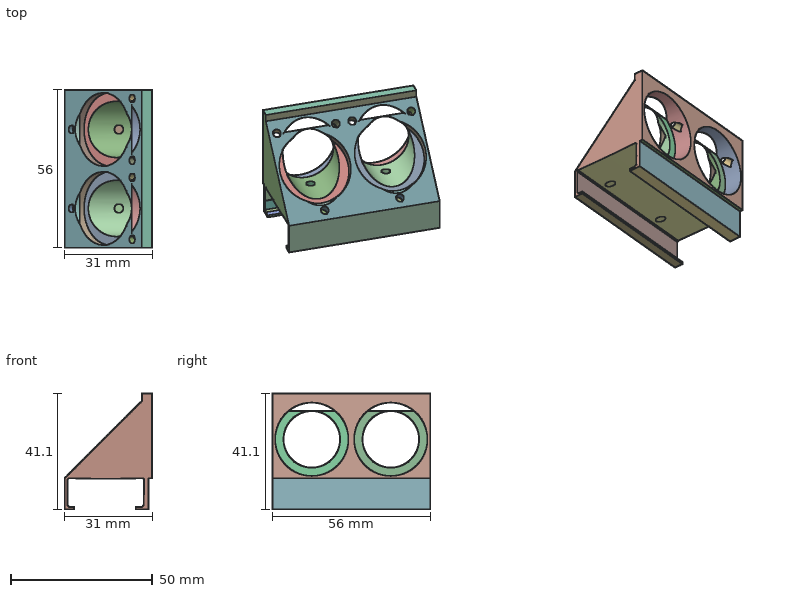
import cadquery as cq
import math

length_x = 31.0
width_y = 56
height_z = 41.15
slope_base_z = 11.1
ridge_thickness = 3.6
slope_end_x = length_x - ridge_thickness

ceiling_z = 11.05
ceiling_sag = 0.15
front_leg_thickness = 1.05
rear_leg_inner_x = 28.05
rear_leg_outer_x = 29.8
lip_thickness = 0.9
front_lip_end_x = 3.4
rear_lip_start_x = 25.2
upper_chamfer = 0.4
lower_chamfer = 0.7
ledge_width = 0.1
ledge_z = 5.2
membrane_thickness = 0.15

station_ys = (-width_y / 4, width_y / 4)
bore_diameter = 20.0
seat_diameter = 26.0
bore_axis_z = 24.85
rear_seat_depth = 7.1
sloped_seat_depth = 3.3
bore_slope_x = bore_axis_z - slope_base_z

screw_diameter = 2.8
screw_depth = 5.6
lower_screw_x = 2.45
upper_screw_x = 23.95
upper_screw_offset_y = 11.0
wall_hole_diameter = 3.15
wall_hole_x = 19.25


def make_body():
    """Extrude the wedge that carries the bores."""
    outline = (
        cq.Workplane("XZ", origin=(0, width_y / 2, 0))
        .moveTo(0, 0)
        .lineTo(0, slope_base_z)
        .lineTo(slope_end_x, slope_base_z + slope_end_x)
        .lineTo(slope_end_x, height_z)
        .lineTo(length_x, height_z)
        .lineTo(length_x, ceiling_z)
        .lineTo(rear_leg_outer_x, ceiling_z)
        .lineTo(rear_leg_outer_x, 0)
        .close()
    )
    return outline.extrude(width_y)


def make_channel():
    """Space between the clip legs, narrowed at the bottom by the lips."""
    left = front_leg_thickness
    right = rear_leg_inner_x
    upper_right = right + ledge_width
    outline = (
        cq.Workplane("XZ", origin=(0, width_y / 2, 0))
        .moveTo(front_lip_end_x, 0)
        .lineTo(front_lip_end_x, lip_thickness)
        .lineTo(left + lower_chamfer, lip_thickness)
        .lineTo(left, lip_thickness + lower_chamfer)
        .lineTo(left, ceiling_z - upper_chamfer)
        .lineTo(left + upper_chamfer, ceiling_z)
        .threePointArc(
            ((left + right) / 2, ceiling_z - ceiling_sag),
            (upper_right - upper_chamfer, ceiling_z),
        )
        .lineTo(upper_right, ceiling_z - upper_chamfer)
        .lineTo(upper_right, ledge_z + ledge_width)
        .lineTo(right, ledge_z)
        .lineTo(right, lip_thickness + lower_chamfer)
        .lineTo(right - lower_chamfer, lip_thickness)
        .lineTo(rear_lip_start_x, lip_thickness)
        .lineTo(rear_lip_start_x, 0)
        .close()
    )
    return outline.extrude(width_y)


def cylinder(diameter, depth, start, direction):
    return cq.Workplane(
        cq.Solid.makeCylinder(diameter / 2, depth, cq.Vector(*start), cq.Vector(*direction))
    )


def sloped_hole(diameter, depth, x, y):
    """Cutter square to the sloped face, extended outside it to clear the surface."""
    clearance = 0.55
    shift = clearance / math.sqrt(2)
    start = (x - shift, y, slope_base_z + x + shift)
    return cylinder(diameter, depth + clearance, start, (1, 0, -1))


def make_station(y):
    """Bore, its two seats, three screw holes and the blind hole in the bore wall."""
    bore = cylinder(bore_diameter, length_x, (0, y, bore_axis_z), (1, 0, 0))
    rear_seat = cylinder(
        seat_diameter, rear_seat_depth, (length_x - rear_seat_depth, y, bore_axis_z), (1, 0, 0)
    )
    sloped_seat = sloped_hole(seat_diameter, sloped_seat_depth, bore_slope_x, y)
    floor_z = ceiling_z + membrane_thickness
    wall_hole = cylinder(wall_hole_diameter, bore_axis_z - floor_z, (wall_hole_x, y, floor_z), (0, 0, 1))
    cutter = bore.union(rear_seat).union(sloped_seat).union(wall_hole)
    screw_places = [
        (lower_screw_x, y),
        (upper_screw_x, y - upper_screw_offset_y),
        (upper_screw_x, y + upper_screw_offset_y),
    ]
    for screw_x, screw_y in screw_places:
        cutter = cutter.union(sloped_hole(screw_diameter, screw_depth, screw_x, screw_y))
    below_floor = cq.Workplane().box(length_x, width_y, floor_z, centered=False)
    return cutter.cut(below_floor.translate((0, -width_y / 2, 0)))


result = make_body().cut(make_channel())
for station_y in station_ys:
    result = result.cut(make_station(station_y))